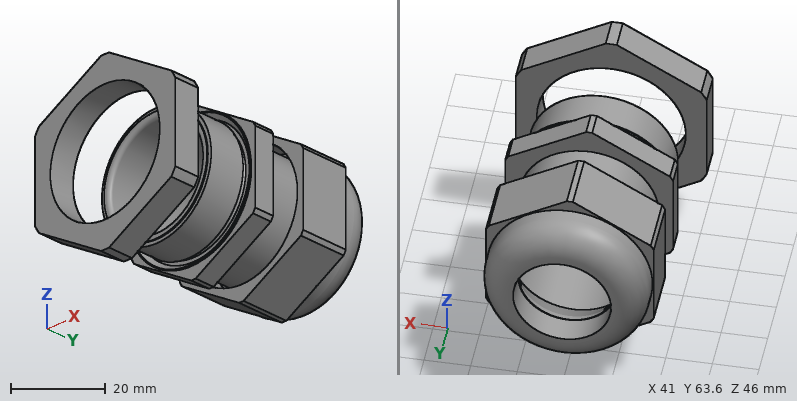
import cadquery as cq
import math


LOCKNUT_FLATS = 41.0
LOCKNUT_CORNERS = 46.0
LOCKNUT_WIDTH = 7.0
THREAD_RADIUS = 16.0

HEX_FLATS = 36.0
HEX_CORNERS = 40.85
BODY_END = 15.4
BODY_HEX_START = 27.0
BODY_HEX_END = 32.45
SHANK_RADIUS = 15.0
SHANK_END = 50.9
BODY_BORE_RADIUS = 13.35
BORE_MOUTH_ROUNDING = 0.95
THREAD_START = 15.7
THREAD_END = 25.45
LIP_RADIUS = 17.75
LIP_ROOT_RADIUS = 16.9
LIP_TIP = 25.8
LIP_THICKNESS = 0.25
DISH_FLOOR = 27.1
DISH_FLOOR_RADIUS = 16.15
NECK_ROUNDING = 0.65

SEAL_END = 57.4
SEAL_THROAT = 55.9
SEAL_THROAT_RADIUS = 10.9
SEAL_EXIT_RADIUS = 10.6

CAP_START = 41.6
CAP_HEX_END = 54.7
CAP_END = 63.65
CAP_RADIUS = 17.75
CAP_DOME_ROUNDING = 6.2
CAP_OPENING_RADIUS = 10.5
CAP_MOUTH_RADIUS = 16.35
CAP_MOUTH_DEPTH = 1.3
CAP_RELIEF_RADIUS = 16.55
CAP_RELIEF_END = 50.3


def along_axis(start):
    """Workplane across the axis at a Y station, extruding toward +Y, with Z up."""
    return cq.Workplane("XZ", origin=(0, start, 0))


def cylinder(radius, start, end):
    return along_axis(start).circle(radius).extrude(start - end)


def hexagon(flats, corners, start, end):
    """Hexagonal prism with two flats facing +-X and its corners turned down to a cylinder."""
    sharp_corners = flats / math.cos(math.radians(30))
    prism = along_axis(start).transformed(rotate=(0, 0, 30)).polygon(6, sharp_corners).extrude(start - end)
    return prism.intersect(cylinder(corners / 2, start, end))


def revolved(sketch):
    """Solid of revolution about Y from a closed (radius, Y) outline."""
    return sketch.close().revolve(360, (0, 0, 0), (0, 1, 0))


def make_locknut():
    blank = hexagon(LOCKNUT_FLATS, LOCKNUT_CORNERS, 0, LOCKNUT_WIDTH)
    return blank.cut(cylinder(THREAD_RADIUS, 0, LOCKNUT_WIDTH))


def make_body():
    turned = revolved(
        cq.Workplane("XY")
        .moveTo(BODY_BORE_RADIUS, BODY_END + BORE_MOUTH_ROUNDING)
        .radiusArc((BODY_BORE_RADIUS + BORE_MOUTH_ROUNDING, BODY_END), -BORE_MOUTH_ROUNDING)
        .lineTo(SHANK_RADIUS, BODY_END)
        .lineTo(SHANK_RADIUS, THREAD_START)
        .lineTo(THREAD_RADIUS, THREAD_START)
        .lineTo(THREAD_RADIUS, THREAD_END)
        .lineTo(SHANK_RADIUS, THREAD_END)
        .lineTo(SHANK_RADIUS, DISH_FLOOR - NECK_ROUNDING)
        .radiusArc((SHANK_RADIUS + NECK_ROUNDING, DISH_FLOOR), NECK_ROUNDING)
        .lineTo(DISH_FLOOR_RADIUS, DISH_FLOOR)
        .lineTo(LIP_RADIUS - LIP_THICKNESS, LIP_TIP)
        .lineTo(LIP_RADIUS, LIP_TIP)
        .lineTo(LIP_RADIUS, LIP_TIP + LIP_THICKNESS)
        .lineTo(LIP_ROOT_RADIUS, BODY_HEX_START)
        .lineTo(SHANK_RADIUS, BODY_HEX_START)
        .lineTo(SHANK_RADIUS, SHANK_END)
        .lineTo(BODY_BORE_RADIUS, SHANK_END)
    )
    collar = hexagon(HEX_FLATS, HEX_CORNERS, BODY_HEX_START, BODY_HEX_END)
    collar = collar.cut(cylinder(BODY_BORE_RADIUS, BODY_HEX_START, BODY_HEX_END))
    return turned.union(collar)


def make_seal():
    return revolved(
        cq.Workplane("XY")
        .moveTo(BODY_BORE_RADIUS, SHANK_END)
        .lineTo(SHANK_RADIUS, SHANK_END)
        .lineTo(SHANK_RADIUS, SEAL_END)
        .lineTo(SEAL_EXIT_RADIUS, SEAL_END)
        .lineTo(SEAL_THROAT_RADIUS, SEAL_THROAT)
    )


def make_cap():
    dome = cylinder(CAP_RADIUS, CAP_HEX_END, CAP_END).faces(">Y").edges().fillet(CAP_DOME_ROUNDING)
    cap = hexagon(HEX_FLATS, HEX_CORNERS, CAP_START, CAP_HEX_END).union(dome)
    relief_start = CAP_START + CAP_MOUTH_DEPTH
    cap = cap.cut(cylinder(CAP_MOUTH_RADIUS, CAP_START, relief_start))
    cap = cap.cut(cylinder(CAP_RELIEF_RADIUS, relief_start, CAP_RELIEF_END))
    cap = cap.cut(cylinder(SHANK_RADIUS, CAP_RELIEF_END, SEAL_END))
    return cap.cut(cylinder(CAP_OPENING_RADIUS, SEAL_END, CAP_END))


locknut = make_locknut()
body = make_body()
seal = make_seal()
cap = make_cap()

result = cq.Compound.makeCompound([locknut.val(), body.val(), seal.val(), cap.val()])